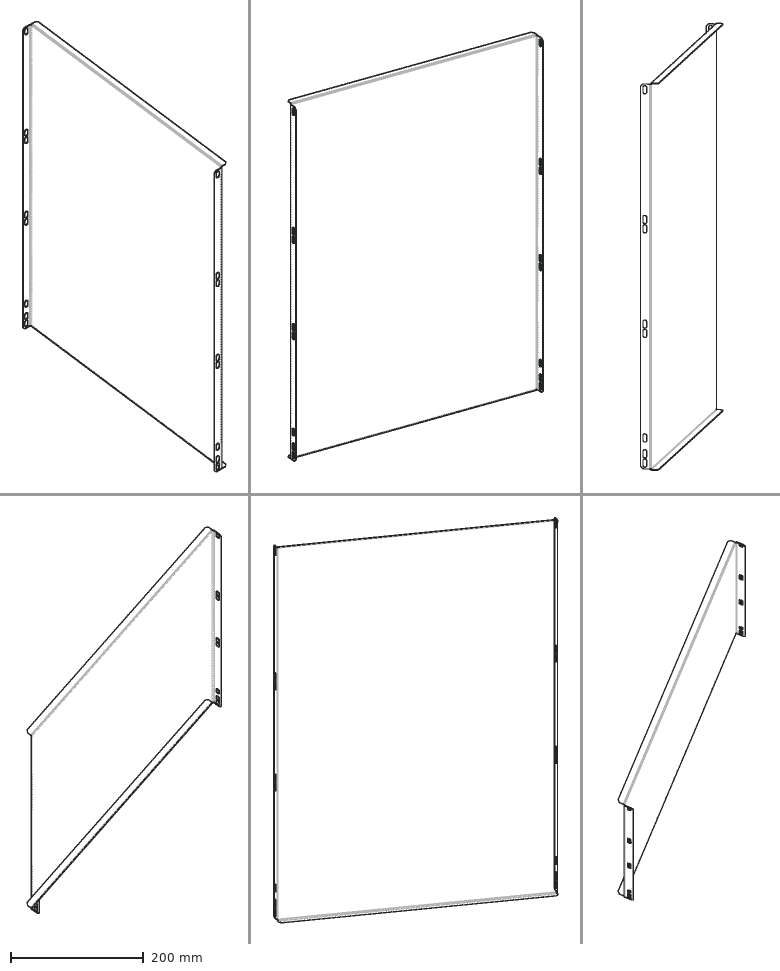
import cadquery as cq
WIDTH = 444.0
DEPTH = 27.0
HEIGHT = 598.0

THICKNESS = 1.5
INNER_BEND = 0.9
OUTER_BEND = INNER_BEND + THICKNESS

BACK_FLANGE_REACH = 11.0
SIDE_FLANGE_REACH = DEPTH - BACK_FLANGE_REACH

END_GAP = 2.0
TIP_CHAMFER = 3.5

FLAT_WIDTH = WIDTH - 2 * OUTER_BEND
FLAT_HEIGHT = HEIGHT - 2 * OUTER_BEND

SLOT_LENGTH = 12.5
SLOT_WIDTH = 6.0
SLOT_Y = -9.5
SLOT_PITCH = 14.5
END_SLOT_Z = 288.0
SINGLE_SLOT_Z = -249.5
PAIR_Z = 81.0

slot_heights = [END_SLOT_Z, SINGLE_SLOT_Z, SLOT_PITCH - END_SLOT_Z, -END_SLOT_Z]
for pair_centre in (PAIR_Z, -PAIR_Z):
    slot_heights += [pair_centre + SLOT_PITCH / 2, pair_centre - SLOT_PITCH / 2]


def flange(reach, length):
    """Bend plus leg along z: the bend starts at the origin going +x, the leg points along +y."""
    strip = (
        cq.Workplane("XY")
        .moveTo(0, 0)
        .radiusArc((OUTER_BEND, OUTER_BEND), -OUTER_BEND)
        .lineTo(OUTER_BEND, reach)
        .lineTo(INNER_BEND, reach)
        .lineTo(INNER_BEND, OUTER_BEND)
        .radiusArc((0, THICKNESS), INNER_BEND)
        .close()
        .extrude(length / 2, both=True)
    )
    return strip.faces(">Y").edges("|X").chamfer(TIP_CHAMFER)


def slot_cutter(height):
    """Upright slot through both side flanges."""
    return (
        cq.Workplane("YZ", origin=(0, SLOT_Y, height))
        .slot2D(SLOT_LENGTH, SLOT_WIDTH, 90)
        .extrude(WIDTH, both=True)
    )


panel = cq.Workplane("XY").box(FLAT_WIDTH, THICKNESS, FLAT_HEIGHT).translate((0, -THICKNESS / 2, 0))

side_flange = (
    flange(SIDE_FLANGE_REACH, HEIGHT - 2 * END_GAP)
    .mirror("XZ")
    .translate((FLAT_WIDTH / 2, 0, 0))
)

top_flange = (
    flange(BACK_FLANGE_REACH + THICKNESS, WIDTH - 2 * END_GAP)
    .rotate((0, 0, 0), (0, 1, 0), -90)
    .translate((0, -THICKNESS, FLAT_HEIGHT / 2))
)

result = panel.union(side_flange).union(side_flange.mirror("YZ"))
result = result.union(top_flange).union(top_flange.mirror("XY"))

for slot_height in slot_heights:
    result = result.cut(slot_cutter(slot_height))